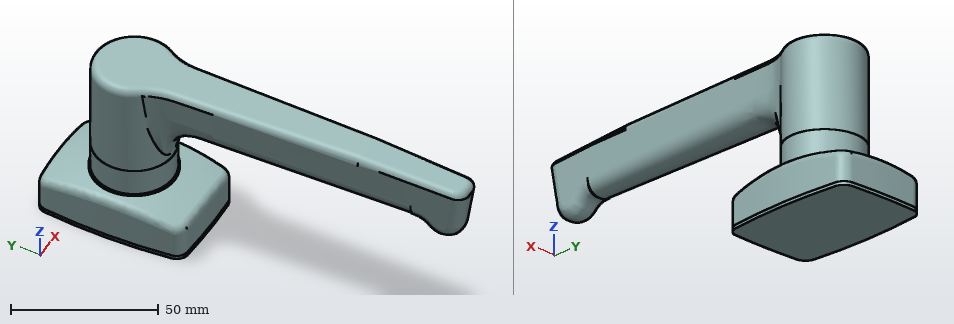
import cadquery as cq
import math

base_length = 57.86
base_width = 39.9
side_bow = 1.8
end_bow = 0.7
base_corner_radius = 4.5
plate_thickness = 1.4
dome_radius = 97.0
dome_crown_height = 18.55
base_top_fillet = 3.0

washer_radius = 15.6
collar_bottom = 17.7
hub_radius = 15.0
hub_bottom = 28.2
handle_top = 64.5
handle_top_fillet = 3.0

grip_start_half_width = 9.1
grip_end = -130.15
grip_end_half_width = 6.0
flare_radius = 23.5

side_draft = 3.0
side_edge_start_height = 52.8
side_edge_end_height = 50.0
underside_height = 44.7
underside_fullness = 0.62

web_radius = 14.3
web_root_drop = 1.3
web_sections = 6
root_sections = 4
tail_sections = 3
web_end = -35.0

slope_start = -90.2
slope_drop = 1.9
tip_corner_radius = 4.5
end_lean = 8.0
end_height = 60.5
nub_start = -110.0
nub_bottom = 39.8
nub_radius = 7.2
nub_slope = 45.0
throat_radius = 6.0

seat_height = dome_crown_height - dome_radius + math.sqrt(dome_radius**2 - washer_radius**2)
on_edge_tolerance = 0.1

draft_rate = math.tan(math.radians(side_draft))
flare_center_x = grip_start_half_width + flare_radius
flare_center_y = -math.sqrt((hub_radius + flare_radius) ** 2 - flare_center_x**2)
taper_rate = (grip_start_half_width - grip_end_half_width) / (flare_center_y - grip_end)
flare_hub_y = flare_center_y * hub_radius / (hub_radius + flare_radius)
flare_hub_x = flare_center_x * hub_radius / (hub_radius + flare_radius)
web_center_y = -hub_radius - web_radius
web_center_z = underside_height - web_radius


def base_prism(bottom, top):
    half_length = base_length / 2
    half_width = base_width / 2
    corner_x = half_width - side_bow
    corner_y = half_length - end_bow
    return (
        cq.Workplane("XY", origin=(0, 0, bottom))
        .moveTo(corner_x, -corner_y)
        .threePointArc((half_width, 0), (corner_x, corner_y))
        .threePointArc((0, half_length), (-corner_x, corner_y))
        .threePointArc((-half_width, 0), (-corner_x, -corner_y))
        .threePointArc((0, -half_length), (corner_x, -corner_y))
        .close()
        .extrude(top - bottom)
        .edges("|Z")
        .fillet(base_corner_radius)
    )


def make_plate():
    return base_prism(0, plate_thickness)


def make_base():
    dome = cq.Workplane("XY", origin=(0, 0, dome_crown_height - dome_radius)).sphere(dome_radius)
    domed = base_prism(plate_thickness, dome_crown_height).intersect(dome)
    rounded = domed.faces(">Z").edges().fillet(base_top_fillet)
    return rounded.cut(make_disc(washer_radius, seat_height, dome_crown_height))


def make_disc(radius, bottom, top):
    return cq.Workplane("XY", origin=(0, 0, bottom)).circle(radius).extrude(top - bottom)


def plan_half_width(y):
    if y < flare_center_y:
        return grip_start_half_width - taper_rate * (flare_center_y - y)
    return flare_center_x - math.sqrt(flare_radius**2 - (y - flare_center_y) ** 2)


def half_width(y, z):
    return plan_half_width(y) - draft_rate * (handle_top - z)


def section(y, bottom):
    along = (flare_hub_y - y) / (flare_hub_y - grip_end)
    edge_z = side_edge_start_height + along * (side_edge_end_height - side_edge_start_height)
    top_x = half_width(y, handle_top)
    edge_x = half_width(y, edge_z)
    curve_x = edge_x * underside_fullness
    curve_z = edge_z - (edge_z - bottom) * underside_fullness
    outline = (
        cq.Workplane("XZ", origin=(0, y, 0))
        .moveTo(-top_x, handle_top)
        .lineTo(top_x, handle_top)
        .lineTo(edge_x, edge_z)
        .bezier([(edge_x, edge_z), (edge_x, curve_z), (curve_x, bottom), (0, bottom)])
        .bezier([(0, bottom), (-curve_x, bottom), (-edge_x, curve_z), (-edge_x, edge_z)])
        .close()
    )
    return outline.val()


def make_web():
    root_depth = flare_hub_y + hub_radius
    sections = []
    for step in range(root_sections):
        along = step / root_sections
        y = flare_hub_y - root_depth * along
        sections.append(section(y, web_center_z - web_root_drop * (1 - along**2)))
    for step in range(web_sections + 1):
        angle = math.radians(90 * step / web_sections)
        y = web_center_y + web_radius * math.cos(angle)
        z = web_center_z + web_radius * math.sin(angle)
        sections.append(section(y, z))
    for step in range(1, tail_sections + 1):
        along = step / tail_sections
        y = web_center_y + (web_end - web_center_y) * along
        sections.append(section(y, underside_height))
    return cq.Workplane(cq.Solid.makeLoft(sections, False))


def make_grip():
    ends = [section(web_end, underside_height), section(nub_start, underside_height)]
    return cq.Workplane(cq.Solid.makeLoft(ends, True))


def side_wedge():
    """Block bounded by the drafted, tapering sides of the grip."""
    near_y = nub_start
    far_y = 2 * grip_end - nub_start
    outlines = []
    for z in (hub_bottom, handle_top):
        near_x = half_width(near_y, z)
        far_x = half_width(far_y, z)
        corners = [(-near_x, near_y), (-far_x, far_y), (far_x, far_y), (near_x, near_y)]
        outlines.append(cq.Workplane("XY", origin=(0, 0, z)).polyline(corners).close().val())
    return cq.Workplane(cq.Solid.makeLoft(outlines, True))


def make_tip():
    slope = math.radians(nub_slope)
    lean = math.radians(end_lean)
    nub_center_z = nub_bottom + nub_radius
    heel_z = nub_center_z - nub_radius * math.sin(lean)
    heel_y = grip_end + (end_height - heel_z) * math.tan(lean)
    top_end_y = grip_end - (handle_top - end_height) * math.tan(lean)
    nub_center_y = heel_y + nub_radius * math.cos(lean)
    nub_end_y = nub_center_y + nub_radius * math.sin(slope)
    nub_end_z = nub_center_z - nub_radius * math.cos(slope)
    throat_y = nub_end_y + (underside_height - nub_end_z) / math.tan(slope)
    tangent = throat_radius * math.tan(slope / 2)
    throat_start_y = throat_y + tangent
    throat_middle_y = throat_start_y - throat_radius * math.sin(slope / 2)
    throat_middle_z = underside_height - throat_radius * (1 - math.cos(slope / 2))
    throat_end_y = throat_y - tangent * math.cos(slope)
    throat_end_z = underside_height - tangent * math.sin(slope)
    profile = (
        cq.Workplane("YZ", origin=(-base_width / 2, 0, 0))
        .moveTo(nub_start, underside_height)
        .lineTo(throat_start_y, underside_height)
        .threePointArc((throat_middle_y, throat_middle_z), (throat_end_y, throat_end_z))
        .lineTo(nub_end_y, nub_end_z)
        .threePointArc((nub_center_y, nub_bottom), (heel_y, heel_z))
        .lineTo(top_end_y, handle_top)
        .lineTo(nub_start, handle_top)
        .close()
        .extrude(base_width)
    )
    tip = side_wedge().intersect(profile)
    lower_outline = [edge for edge in tip.edges().vals() if is_tip_outline(edge)]
    return tip.newObject(lower_outline).fillet(tip_corner_radius)


def is_tip_outline(edge):
    """Side edges of the tip along its underside and end face, not along its top or its near face."""
    box = edge.BoundingBox()
    on_side = abs(edge.Center().x) > on_edge_tolerance
    on_top = box.zmin > handle_top - on_edge_tolerance
    on_near_face = box.ymin > nub_start - on_edge_tolerance
    return on_side and not on_top and not on_near_face


def make_envelope():
    """Upright prism over the whole handle plan, with the sloping top and its rounded rim."""
    hub_left = (-flare_hub_x, flare_hub_y)
    hub_right = (flare_hub_x, flare_hub_y)
    flare_middle_angle = math.atan2(-flare_center_y, flare_center_x) / 2
    flare_middle_x = flare_center_x - flare_radius * math.cos(flare_middle_angle)
    flare_middle_y = flare_center_y + flare_radius * math.sin(flare_middle_angle)
    prism = (
        cq.Workplane("XY", origin=(0, 0, hub_bottom))
        .moveTo(*hub_left)
        .threePointArc((0, hub_radius), hub_right)
        .threePointArc((flare_middle_x, flare_middle_y), (grip_start_half_width, flare_center_y))
        .lineTo(grip_end_half_width, grip_end)
        .lineTo(-grip_end_half_width, grip_end)
        .lineTo(-grip_start_half_width, flare_center_y)
        .threePointArc((-flare_middle_x, flare_middle_y), hub_left)
        .close()
        .extrude(handle_top - hub_bottom)
        .edges("|Z and <Y")
        .fillet(tip_corner_radius)
    )
    slope_cut = (
        cq.Workplane("YZ", origin=(-base_width / 2, 0, 0))
        .moveTo(slope_start, handle_top)
        .lineTo(grip_end, handle_top - slope_drop)
        .lineTo(grip_end, handle_top)
        .close()
        .extrude(base_width)
    )
    sloped = prism.cut(slope_cut)
    rim = [edge for edge in sloped.edges().vals() if is_rim(edge)]
    return sloped.newObject(rim).fillet(handle_top_fillet)


def is_rim(edge):
    """Edges around the top of the handle, without the line where its slope begins."""
    on_top = edge.BoundingBox().zmin > handle_top - slope_drop - on_edge_tolerance
    on_slope_line = abs(edge.Center().y - slope_start) < on_edge_tolerance
    return on_top and not on_slope_line


def make_handle():
    hub = make_disc(hub_radius, hub_bottom, handle_top)
    handle = hub.union(make_web()).union(make_grip()).union(make_tip())
    return make_envelope().intersect(handle)


plate = make_plate()
base = make_base()
washer = make_disc(washer_radius, seat_height, collar_bottom)
collar = make_disc(hub_radius, collar_bottom, hub_bottom)
handle = make_handle()

result = cq.Compound.makeCompound([plate.val(), base.val(), washer.val(), collar.val(), handle.val()])